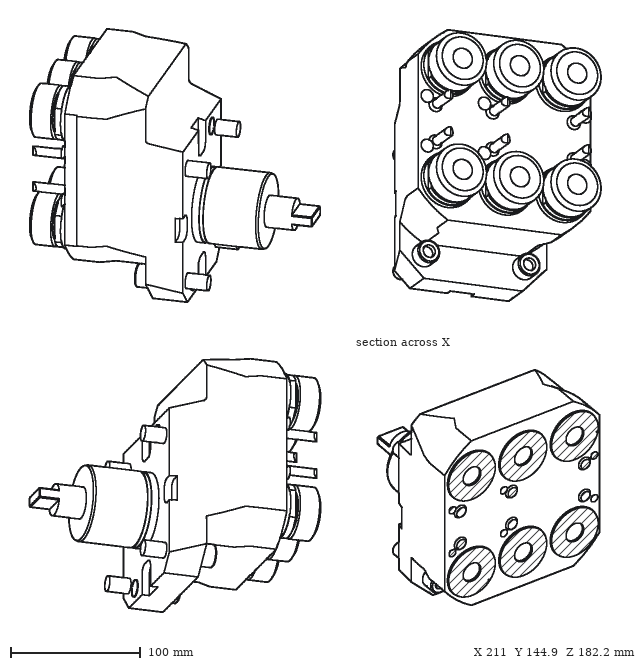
import cadquery as cq
import math

OVERLAP = 1.0
TAPER = math.tan(math.radians(15))

FRONT_X = -89.5
CONE_START_X = -68.5
CONE_END_X = -57.0
SHOULDER_X = -27.8
HALF_WIDTH = 72.46
HEAD_TOP = 116.7
HEAD_BOTTOM = -37.3
HEAD_Z = (HEAD_TOP + HEAD_BOTTOM) / 2
CORNER_RADIUS = 90.5
CORNER_RADIUS_BACK = CORNER_RADIUS - (CONE_END_X - CONE_START_X) * TAPER
COVER_THICKNESS = 9.5
COVER_STEP = 0.53
PLATE_TOP = 65.6
PLATE_BOTTOM = -65.5
PLATE_BOTTOM_HALF_WIDTH = 41.3
SHOULDER_FILLET = 3.5

SLOT_WIDTH = 19.8
SLOT_DEPTH = 6.0
SLOT_CORNER = 6.3
SLOT_INNER_END = 42.2

SHANK_RADIUS = 29.7
SHANK_LENGTH = 53.2
SHANK_CHAMFER = (2.0, 0.6)
GROOVE_START = 6.0
GROOVE_END = 9.0
GROOVE_DEPTH = 0.6
DRIVE_RADIUS = 12.5
DRIVE_END = 75.0
TANG_END = 91.3
TANG_HALF_THICKNESS = 4.11
TANG_CHAMFER = 1.3
TANG_END_CHAMFER = 0.6

HOLDER_PITCH_Y = 47.9
HOLDER_OFFSET_Z = 45.0
FLANGE_RADIUS = 22.0
FLANGE_LENGTH = 4.2
FLANGE_CHAMFER = (1.5, 0.5)
COLLAR_RADIUS = 20.9
COLLAR_END = 9.7
COLLAR_HALF_FLATS = 17.7
NECK_RADIUS = 15.5
NUT_HUB_START = 11.0
NUT_HUB_RADIUS = 16.0
NUT_START = 12.2
NUT_END = 30.2
NUT_RADIUS = 21.0
NUT_FACE_RADIUS = 17.0
NUT_CHAMFER = 2.3
BORE_RADIUS = 8.0

PIN_Y = (57.8, 10.1, -57.8)
PIN_OFFSET_Z = 15.0
PIN_RADIUS = 3.5
PIN_LENGTH = 29.5
PIN_BASE_RADIUS = 5.5
PIN_BASE_HEIGHT = 2.7
PLUG_Y = (66.0, 18.1, -66.0)
PLUG_OFFSET_Z = 20.0
PLUG_RADIUS = 5.17
PLUG_ROOT_RADIUS = 2.0
PLUG_HEIGHT = 3.2

SCREW_Y = 42.0
SCREW_Z = 47.0
SCREW_RADIUS = 6.1
SCREW_LENGTH = 17.3
SCREW_HEAD_RADIUS = 9.0
SCREW_HEAD_HEIGHT = 12.0
SCREW_HEAD_CHAMFER = 1.0
SOCKET_RADIUS = 4.95
SOCKET_DEPTH = 5.0
SOCKET_CONE_DEPTH = 3.0
PAD_Y = 26.2
PAD_Z = 54.5
PAD_RADIUS = 6.8
PAD_HEIGHT = 0.6


def rod(x_start, x_end, radius, y=0.0, z=0.0):
    """Cylinder along X."""
    return cq.Workplane("YZ", origin=(x_start, y, z)).circle(radius).extrude(x_end - x_start)


def turned(points, y=0.0, z=0.0):
    """Solid of revolution about an X-parallel axis from (x, radius) points."""
    outline = [(points[0][0], 0)] + points
    if points[-1][1] > 0:
        outline.append((points[-1][0], 0))
    solid = cq.Workplane("XY").polyline(outline).close().revolve(360, (0, 0, 0), (1, 0, 0))
    return solid.translate((0, y, z))


def side_extrusion(points):
    """Extrude an (x, z) outline across the full width."""
    return cq.Workplane("XZ").polyline(points).close().extrude(HALF_WIDTH, both=True)


def make_housing():
    head = side_extrusion([
        (FRONT_X, HEAD_BOTTOM),
        (SHOULDER_X, HEAD_BOTTOM),
        (SHOULDER_X, HEAD_TOP - (SHOULDER_X - CONE_END_X) * TAPER),
        (CONE_END_X, HEAD_TOP),
        (FRONT_X, HEAD_TOP),
    ])
    head = head.intersect(turned([
        (FRONT_X, CORNER_RADIUS),
        (CONE_START_X, CORNER_RADIUS),
        (CONE_END_X, CORNER_RADIUS_BACK),
        (SHOULDER_X, CORNER_RADIUS_BACK),
    ], z=HEAD_Z))

    plate = side_extrusion([
        (SHOULDER_X, PLATE_BOTTOM),
        (0, PLATE_BOTTOM),
        (0, PLATE_TOP),
        (SHOULDER_X, PLATE_TOP - SHOULDER_X * TAPER),
    ])
    corner_rise = HALF_WIDTH - PLATE_BOTTOM_HALF_WIDTH
    plate_section = [
        (-PLATE_BOTTOM_HALF_WIDTH, PLATE_BOTTOM),
        (PLATE_BOTTOM_HALF_WIDTH, PLATE_BOTTOM),
        (HALF_WIDTH, PLATE_BOTTOM + corner_rise),
        (HALF_WIDTH, HEAD_TOP),
        (-HALF_WIDTH, HEAD_TOP),
        (-HALF_WIDTH, PLATE_BOTTOM + corner_rise),
    ]
    plate = plate.intersect(
        cq.Workplane("YZ", origin=(SHOULDER_X, 0, 0)).polyline(plate_section).close().extrude(-SHOULDER_X)
    )

    back_half_width = HALF_WIDTH + CONE_START_X * TAPER
    footprint = [
        (FRONT_X, -HALF_WIDTH + COVER_STEP),
        (FRONT_X + COVER_THICKNESS, -HALF_WIDTH + COVER_STEP),
        (FRONT_X + COVER_THICKNESS, -HALF_WIDTH),
        (CONE_START_X, -HALF_WIDTH),
        (0, -back_half_width),
        (0, back_half_width),
        (CONE_START_X, HALF_WIDTH),
        (FRONT_X, HALF_WIDTH),
    ]
    planform = (
        cq.Workplane("XY", origin=(0, 0, PLATE_BOTTOM))
        .polyline(footprint).close().extrude(HEAD_TOP - PLATE_BOTTOM)
    )
    housing = head.union(plate).intersect(planform)
    shoulder_z = PLATE_TOP - SHOULDER_X * TAPER
    shoulder_edge = cq.selectors.BoxSelector(
        (SHOULDER_X - 0.2, -HALF_WIDTH, shoulder_z - 0.2),
        (SHOULDER_X + 0.2, HALF_WIDTH, shoulder_z + 0.2),
    )
    return housing.edges(shoulder_edge).fillet(SHOULDER_FILLET)


def make_key_slots():
    """Four slots open to the plate edges, with rounded inner corners."""
    length = HALF_WIDTH - SLOT_INNER_END
    slot = (
        cq.Workplane("XY")
        .box(SLOT_DEPTH, length, SLOT_WIDTH)
        .edges("|X and <Y").fillet(SLOT_CORNER)
        .translate((-SLOT_DEPTH / 2, SLOT_INNER_END + length / 2, 0))
    )
    slots = slot
    for angle in (90, 180, 270):
        slots = slots.union(slot.rotate((0, 0, 0), (1, 0, 0), angle))
    return slots


def make_shank():
    chamfer_length, chamfer_drop = SHANK_CHAMFER
    shank = turned([
        (-OVERLAP, SHANK_RADIUS),
        (GROOVE_START, SHANK_RADIUS),
        (GROOVE_START, SHANK_RADIUS - GROOVE_DEPTH),
        (GROOVE_END, SHANK_RADIUS - GROOVE_DEPTH),
        (GROOVE_END, SHANK_RADIUS),
        (SHANK_LENGTH - chamfer_length, SHANK_RADIUS),
        (SHANK_LENGTH, SHANK_RADIUS - chamfer_drop),
        (SHANK_LENGTH, DRIVE_RADIUS),
        (DRIVE_END, DRIVE_RADIUS),
    ])
    tang_start = DRIVE_END - OVERLAP
    tang = (
        cq.Workplane("YZ", origin=(tang_start, 0, 0))
        .rect(2 * DRIVE_RADIUS, 2 * TANG_HALF_THICKNESS)
        .extrude(TANG_END - tang_start)
        .edges("|X").chamfer(TANG_CHAMFER)
        .faces(">X").chamfer(TANG_END_CHAMFER)
        .intersect(rod(tang_start, TANG_END, DRIVE_RADIUS))
    )
    return shank.union(tang)


def make_holder(y, z):
    chamfer_length, chamfer_drop = FLANGE_CHAMFER
    flange = turned([
        (FRONT_X + OVERLAP, FLANGE_RADIUS),
        (FRONT_X - FLANGE_LENGTH + chamfer_length, FLANGE_RADIUS),
        (FRONT_X - FLANGE_LENGTH, FLANGE_RADIUS - chamfer_drop),
    ], y, z)
    collar_length = COLLAR_END - FLANGE_LENGTH + OVERLAP
    flats = cq.Workplane("XY").box(collar_length, 2 * COLLAR_HALF_FLATS, 2 * COLLAR_RADIUS)
    flats = flats.translate((FRONT_X - COLLAR_END + collar_length / 2, y, z))
    collar = rod(FRONT_X, FRONT_X - COLLAR_END, COLLAR_RADIUS, y, z).intersect(flats)
    neck = rod(FRONT_X, FRONT_X - NUT_END + OVERLAP, NECK_RADIUS, y, z)
    nut = turned([
        (FRONT_X - NUT_HUB_START, NUT_HUB_RADIUS),
        (FRONT_X - NUT_START, NUT_HUB_RADIUS),
        (FRONT_X - NUT_START, NUT_RADIUS),
        (FRONT_X - NUT_END + NUT_CHAMFER, NUT_RADIUS),
        (FRONT_X - NUT_END, NUT_FACE_RADIUS),
    ], y, z)
    bore = rod(FRONT_X, FRONT_X - NUT_END, BORE_RADIUS, y, z)
    return flange.union(collar).union(neck).union(nut).cut(bore)


def make_pin(y, z):
    """Coolant pin with a chisel tip (vertical edge) and a conical base."""
    tip_x = FRONT_X - PIN_LENGTH
    chisel = [
        (tip_x, 0),
        (tip_x + PIN_RADIUS, PIN_RADIUS),
        (FRONT_X + OVERLAP, PIN_RADIUS),
        (FRONT_X + OVERLAP, -PIN_RADIUS),
        (tip_x + PIN_RADIUS, -PIN_RADIUS),
    ]
    wedge = cq.Workplane("XY").polyline(chisel).close().extrude(PIN_RADIUS, both=True)
    pin = rod(tip_x, FRONT_X + OVERLAP, PIN_RADIUS).intersect(wedge).translate((0, y, z))
    base = turned([
        (FRONT_X + OVERLAP, PIN_BASE_RADIUS),
        (FRONT_X, PIN_BASE_RADIUS),
        (FRONT_X - PIN_BASE_HEIGHT, PIN_RADIUS),
    ], y, z)
    return pin.union(base)


def make_plug(y, z):
    """Plug that flares outward from the front face."""
    return turned([
        (FRONT_X + OVERLAP, PLUG_ROOT_RADIUS),
        (FRONT_X, PLUG_ROOT_RADIUS),
        (FRONT_X - PLUG_HEIGHT, PLUG_RADIUS),
    ], y, z)


def make_screw_head(y, z):
    top_x = SHOULDER_X - SCREW_HEAD_HEIGHT
    head = turned([
        (SHOULDER_X + OVERLAP, SCREW_HEAD_RADIUS),
        (top_x + SCREW_HEAD_CHAMFER, SCREW_HEAD_RADIUS),
        (top_x, SCREW_HEAD_RADIUS - SCREW_HEAD_CHAMFER),
    ], y, z)
    socket = turned([
        (top_x, SOCKET_RADIUS),
        (top_x + SOCKET_DEPTH, SOCKET_RADIUS),
        (top_x + SOCKET_DEPTH + SOCKET_CONE_DEPTH, 0),
    ], y, z)
    return head.cut(socket)


result = make_housing().cut(make_key_slots()).union(make_shank())

for side in (-1, 1):
    for column in (-1, 0, 1):
        result = result.union(make_holder(column * HOLDER_PITCH_Y, HEAD_Z + side * HOLDER_OFFSET_Z))
    for plug_y in PLUG_Y:
        result = result.union(make_plug(plug_y, HEAD_Z + side * PLUG_OFFSET_Z))
    for pin_y in PIN_Y:
        result = result.union(make_pin(pin_y, HEAD_Z + side * PIN_OFFSET_Z))
    for screw_z in (-SCREW_Z, SCREW_Z):
        result = result.union(rod(-OVERLAP, SCREW_LENGTH, SCREW_RADIUS, side * SCREW_Y, screw_z))
    result = result.union(make_screw_head(side * SCREW_Y, -SCREW_Z))
    result = result.union(rod(-OVERLAP, PAD_HEIGHT, PAD_RADIUS, side * PAD_Y, side * PAD_Z))